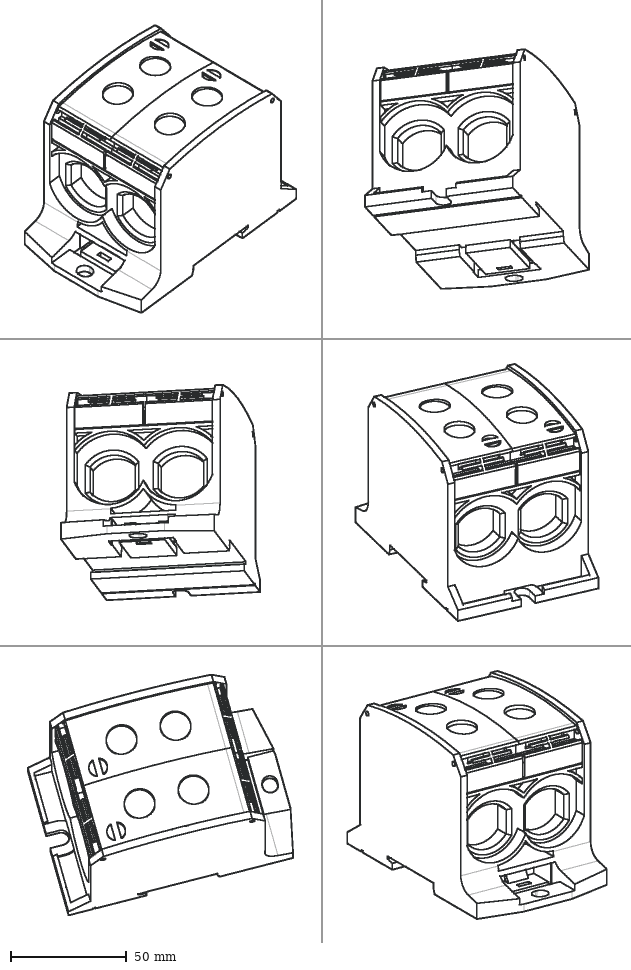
import cadquery as cq
import math

POLE_SIDES = (-1, 1)
END_SIDES = (-1, 1)

width = 67.6
height = 73.5
foot_front = -56.1
foot_back = 48.9
body_half = 39.1
chamfer_half = 33.2
chamfer_top = 70.6
chamfer_bottom = 62.4
back_slope_top = 12.2
back_rim_top = 5.4
foot_fillet = 7.2
foot_fillet_top = 16.1
foot_slope_deg = 13.0
foot_taper_start = -51.6
foot_tip_half = 12.6

pole_pitch = 30.0
pole_x = pole_pitch / 2
inner_half = 30.5
cover_width = inner_half
split = 52.8
cover_crown = 72.2
cover_crown_radius = 168.0
cover_half = 37.6
cover_chamfer_half = 33.1
cover_chamfer_top = 69.1
cover_chamfer_bottom = 62.7
crease_half = 30.5
pin_radius = 1.0
pin_y = 33.4
pin_z = 66.5
screw_radius = 6.6
screw_y = 12.1
screw_floor = 70.4
icon_radius = 4.0
icon_bar = 2.7
icon_offset = -9.0
icon_y = 25.0
icon_depth = 0.2
flap_gap = 1.0
flap_gap_depth = 1.6
flap_clearance = 0.4

label_top = 67.8
label_floor = 63.7
label_back = 31.4
ledge_front = 33.1
ledge_z = 62.4
trench_outer = 36.1
trench_floor = 59.8
rib_width = 1.6
bar_reach = 10.0
bar_bottom = 65.5
bar_top = 66.6
bar_thickness = 0.8
niche_top = 66.6
niche_depth = 1.6

rim_radius = 19.2
rim_z = 31.9
rim_band = 1.6
cradle_radius = 16.3
cradle_z = 34.2
cradle_band = 1.8
recess_face = 32.8
rim_pocket_top = 51.1
port_half = 11.9
port_z = 31.7
port_crown = 12.3
port_corner = 6.2
port_taper = 1.9
port_corner_shift = 0.5
port_taper_depth = 1.5
port_floor = 24.8

window_half = 14.3
window_top = 11.5
plate_top = 3.6
plate_back = -44.2
cavity_half = 13.9
cavity_front = -37.8
cavity_back = -21.0
pillar_inner = 5.1
pillar_outer = 10.0
pillar_front = -30.5
web_floor = 13.6
web_back = -21.0
mount_y = -50.3
mount_length = 7.6
mount_width = 6.7
rail_half = 17.7
rail_top = 5.0
rail_lip = 14.0
rail_lip_top = 3.9
rail_lip_edge = 3.0
rail_front_foot = -18.7
rail_front_bend = 2.8
bottom_groove = (36.9, 38.1)
bottom_groove_depth = 0.7
slot_half = 3.4
slot_y = 43.0
pad_radius = 7.8
pad_top = 3.6
back_floor = 2.1
back_pocket_end = 47.0

latch_front = -41.8
latch_tip = -15.9
latch_half = 10.1
latch_hole_front = -38.7
latch_hole_back = -36.6
latch_hole_half = 3.2
tongue_start = -33.5
tongue_run = 5.2
tongue_thickness = 2.1


def box(x0, x1, y0, y1, z0, z1):
    """Box between opposite corners; the ends of each range may come in either order."""
    center = ((x0 + x1) / 2, (y0 + y1) / 2, (z0 + z1) / 2)
    return cq.Workplane("XY").box(abs(x1 - x0), abs(y1 - y0), abs(z1 - z0)).translate(center)


def side_profile():
    """Sketch plane of (y, z) that extrudes toward +X."""
    return cq.Workplane("YZ")


def extrude_x(profile, half_width):
    return profile.close().extrude(half_width, both=True)


def disc(x, z, radius, y0, y1):
    """Cylinder along Y between y0 and y1."""
    length = abs(y1 - y0)
    plane = cq.Workplane("XZ", origin=(0, max(y0, y1), 0))
    return plane.center(x, z).circle(radius).extrude(length)


def housing_blank():
    slope = math.radians(foot_slope_deg)
    fillet_y = -body_half - foot_fillet
    turn = math.pi / 2 - slope
    end_y = fillet_y + foot_fillet * math.cos(turn)
    end_z = foot_fillet_top - foot_fillet * math.sin(turn)
    mid_y = fillet_y + foot_fillet * math.cos(turn / 2)
    mid_z = foot_fillet_top - foot_fillet * math.sin(turn / 2)
    tip_z = end_z - (end_y - foot_front) * math.tan(slope)
    profile = (
        side_profile()
        .moveTo(foot_front, 0)
        .lineTo(foot_front, tip_z)
        .lineTo(end_y, end_z)
        .threePointArc((mid_y, mid_z), (-body_half, foot_fillet_top))
        .lineTo(-body_half, chamfer_bottom)
        .lineTo(-chamfer_half, chamfer_top)
        .threePointArc((0, height), (chamfer_half, chamfer_top))
        .lineTo(body_half, chamfer_bottom)
        .lineTo(body_half, back_slope_top)
        .lineTo(foot_back, back_rim_top)
        .lineTo(foot_back, 0)
    )
    return extrude_x(profile, width / 2)


def foot_corner(side):
    """Wedge that tapers one side of the front foot."""
    return (
        cq.Workplane("XY")
        .moveTo(side * foot_tip_half, foot_front)
        .lineTo(side * width / 2, foot_taper_start)
        .lineTo(side * width / 2, foot_front)
        .close()
        .extrude(height)
    )


def rail_slot():
    """Slot for the mounting rail, with a hooked lip at the rear."""
    profile = (
        side_profile()
        .moveTo(rail_front_foot, 0)
        .lineTo(-rail_half, rail_front_bend)
        .lineTo(-rail_half, rail_top)
        .lineTo(rail_half, rail_top)
        .lineTo(rail_half, rail_lip_top)
        .lineTo(rail_lip, rail_lip_edge)
        .lineTo(rail_lip, 0)
    )
    return extrude_x(profile, width / 2)


def latch_cavity():
    """Window through the front foot, with the chamber and tunnel behind it for the latch."""
    over_plate = box(-window_half, window_half, foot_front, plate_back, plate_top, window_top)
    window = box(-window_half, window_half, plate_back, cavity_front, 0, window_top)
    chamber = box(-cavity_half, cavity_half, cavity_front, cavity_back, 0, window_top)
    tunnel = box(-cavity_half, cavity_half, cavity_back, -rail_half, 0, rail_top)
    cavity = over_plate.union(window).union(chamber).union(tunnel)
    for side in POLE_SIDES:
        pillar = box(
            side * pillar_inner, side * pillar_outer, pillar_front, cavity_back, plate_top, window_top
        )
        cavity = cavity.cut(pillar)
    return cavity


def web_pocket():
    """Pocket under the two front cradles, leaving a band around each."""
    pocket = box(-window_half, window_half, foot_front, web_back, web_floor, cradle_z)
    for side in POLE_SIDES:
        outer = disc(side * pole_x, cradle_z, cradle_radius + cradle_band, foot_front, web_back)
        pocket = pocket.cut(outer)
    return pocket


def port_outline(plane, inset):
    """Opening with straight sides and an arched top and bottom."""
    half = port_half - inset
    crown = port_crown - inset
    corner = port_corner - port_corner_shift * inset / port_taper
    return (
        plane.moveTo(-half, -corner)
        .lineTo(-half, corner)
        .threePointArc((0, crown), (half, corner))
        .lineTo(half, -corner)
        .threePointArc((0, -crown), (-half, -corner))
        .close()
    )


def cable_port(x):
    """Tapered mouth and blind straight hole in the front recess face."""
    mouth_plane = cq.Workplane("XZ", origin=(x, -recess_face, port_z))
    throat_y = -recess_face + port_taper_depth
    throat_plane = cq.Workplane("XZ", origin=(x, throat_y, port_z))
    throat = port_outline(throat_plane, port_taper)
    depth = -port_floor - throat_y
    mouth_wire = port_outline(mouth_plane, 0).wire().val()
    mouth = cq.Solid.makeLoft([mouth_wire, throat.wire().val()], True)
    return throat.extrude(-depth).union(cq.Workplane(mouth))


def rim_pockets():
    """Corner pockets above the rims of the front recesses."""
    pockets = box(-inner_half, inner_half, -cover_half, -recess_face, rim_z, rim_pocket_top)
    for side in POLE_SIDES:
        center = side * pole_x
        pockets = pockets.cut(disc(center, rim_z, rim_radius + rim_band, -cover_half, -recess_face))
    return pockets


def front_entry():
    """Everything removed at the front for both cables."""
    entry = box(-inner_half, inner_half, -body_half, -cover_half, cradle_z, split)
    opening = box(-inner_half, inner_half, -body_half, -recess_face, cradle_z, rim_z)
    for side in POLE_SIDES:
        center = side * pole_x
        rim = disc(center, rim_z, rim_radius, -body_half, -recess_face)
        cradle = disc(center, cradle_z, cradle_radius, -body_half, -recess_face)
        upper = box(-width, width, -body_half, -recess_face, cradle_z, height)
        opening = opening.union(rim.intersect(upper)).union(cradle)
    within_walls = box(-inner_half, inner_half, -body_half, -recess_face, 0, split)
    entry = entry.union(opening.intersect(within_walls)).union(rim_pockets())
    for side in POLE_SIDES:
        entry = entry.union(cable_port(side * pole_x))
    return entry


def back_foot_cut():
    """Shallow pocket in the rear foot around a padded, open-ended screw slot."""
    pocket = box(-inner_half, inner_half, body_half, back_pocket_end, back_floor, height)
    pad_space = box(-pad_radius, pad_radius, slot_y, foot_back, pad_top, height)
    pad = cq.Workplane("XY").center(0, slot_y).circle(pad_radius).extrude(pad_top)
    pad = pad.union(box(-pad_radius, pad_radius, slot_y, foot_back, 0, pad_top))
    slot = cq.Workplane("XY").center(0, slot_y).circle(slot_half).extrude(back_slope_top)
    slot = slot.union(box(-slot_half, slot_half, slot_y, foot_back, 0, back_slope_top))
    return pocket.cut(pad).union(pad_space).union(slot)


def make_housing():
    body = housing_blank()
    body = body.cut(box(-inner_half, inner_half, -body_half, body_half, split, height))
    for side in POLE_SIDES:
        body = body.cut(foot_corner(side))
    body = body.cut(rail_slot()).cut(latch_cavity()).cut(web_pocket())
    entry = front_entry()
    body = body.cut(entry).cut(entry.mirror("XZ"))
    body = body.cut(back_foot_cut())
    groove_start, groove_end = bottom_groove
    body = body.cut(box(-width, width, groove_start, groove_end, 0, bottom_groove_depth))
    mount = cq.Workplane("XY").center(0, mount_y).slot2D(mount_length, mount_width).extrude(plate_top)
    body = body.cut(mount)
    for end in END_SIDES:
        pin_hole = side_profile().center(end * pin_y, pin_z).circle(pin_radius)
        body = body.cut(pin_hole.extrude(width, both=True))
    return body


def crown_z(y):
    """Height of the cover's crowned top."""
    return cover_crown - cover_crown_radius + math.sqrt(cover_crown_radius**2 - y**2)


def cover_blank():
    profile = (
        side_profile()
        .moveTo(-cover_half, split)
        .lineTo(-cover_half, cover_chamfer_bottom)
        .lineTo(-cover_chamfer_half, cover_chamfer_top)
        .lineTo(-crease_half, crown_z(crease_half))
        .threePointArc((0, cover_crown), (cover_chamfer_half, crown_z(cover_chamfer_half)))
        .lineTo(cover_half, cover_chamfer_bottom)
        .lineTo(cover_half, split)
    )
    return extrude_x(profile, cover_width / 2)


def chamfer_y(z):
    """Distance of the cover's chamfer from y = 0 at a given height."""
    slope = (cover_half - cover_chamfer_half) / (cover_chamfer_top - cover_chamfer_bottom)
    return cover_half - slope * (z - cover_chamfer_bottom)


def label_bars():
    """Two bars flush with the front chamfer, one on each side of the rib."""
    profile = (
        side_profile()
        .moveTo(-chamfer_y(bar_bottom), bar_bottom)
        .lineTo(-chamfer_y(bar_top), bar_top)
        .lineTo(bar_thickness - chamfer_y(bar_top), bar_top)
        .lineTo(bar_thickness - chamfer_y(bar_bottom), bar_bottom)
    )
    return extrude_x(profile, bar_reach)


def label_recess():
    """Recess across the front chamfer with a trench and niches, less the rib and bars."""
    half = cover_width
    niche_back = niche_depth - label_back
    opening = box(-half, half, -body_half, -trench_outer, label_floor, label_top)
    recess = box(-half, half, -trench_outer, -label_back, ledge_z, label_top)
    trench = box(-half, half, -trench_outer, -ledge_front, trench_floor, ledge_z)
    niche = box(-bar_reach, bar_reach, -label_back, niche_back, label_floor, niche_top)
    rib = box(-rib_width / 2, rib_width / 2, -body_half, niche_back, trench_floor, label_top)
    return opening.union(recess).union(trench).union(niche).cut(rib).cut(label_bars())


def flap_gaps(end, inner_side):
    """Clearance below a flap and on its side toward the other cover."""
    front = end * cover_half
    back = end * (cover_half - flap_gap_depth)
    gaps = box(-cover_width, cover_width, front, back, split, split + flap_clearance)
    edge = inner_side * pole_x
    side_gap = box(edge, edge - inner_side * flap_gap / 2, front, back, split, label_floor)
    return gaps.union(side_gap)


def screw_icon():
    """Shallow slotted-screw symbol: a disc interrupted by a bar."""
    floor = crown_z(icon_y + icon_radius) - icon_depth
    symbol = cq.Workplane("XY", origin=(icon_offset, icon_y, floor)).circle(icon_radius).extrude(height)
    left = icon_offset - icon_radius
    right = icon_offset + icon_radius
    bar = box(left, right, icon_y - icon_bar / 2, icon_y + icon_bar / 2, 0, 2 * height)
    return symbol.cut(bar)


def make_cover(side):
    """Cover of the pole on the given side of x = 0."""
    body = cover_blank().translate((side * (cover_width - pole_pitch) / 2, 0, 0))
    recess = label_recess()
    body = body.cut(recess).cut(recess.mirror("XZ"))
    for end in END_SIDES:
        body = body.cut(flap_gaps(end, -side))
        access = cq.Workplane("XY", origin=(0, end * screw_y, screw_floor)).circle(screw_radius)
        body = body.cut(access.extrude(height))
    return body.cut(screw_icon()).translate((side * pole_x, 0, 0))


def make_latch():
    """Sliding foot plate with a tool hole and a rising tongue."""
    plate = box(-latch_half, latch_half, latch_front, latch_tip, 0, plate_top)
    hole = box(
        -latch_hole_half, latch_hole_half, latch_hole_front, latch_hole_back, 0, plate_top
    )
    tongue = (
        side_profile()
        .moveTo(tongue_start, plate_top)
        .lineTo(tongue_start + tongue_run, window_top)
        .lineTo(tongue_start + tongue_run + tongue_thickness, window_top)
        .lineTo(tongue_start + tongue_thickness, plate_top)
    )
    return plate.cut(hole).union(extrude_x(tongue, pillar_inner))


housing = make_housing()
covers = [make_cover(side) for side in POLE_SIDES]
latch = make_latch()

result = cq.Compound.makeCompound([housing.val(), *[cover.val() for cover in covers], latch.val()])